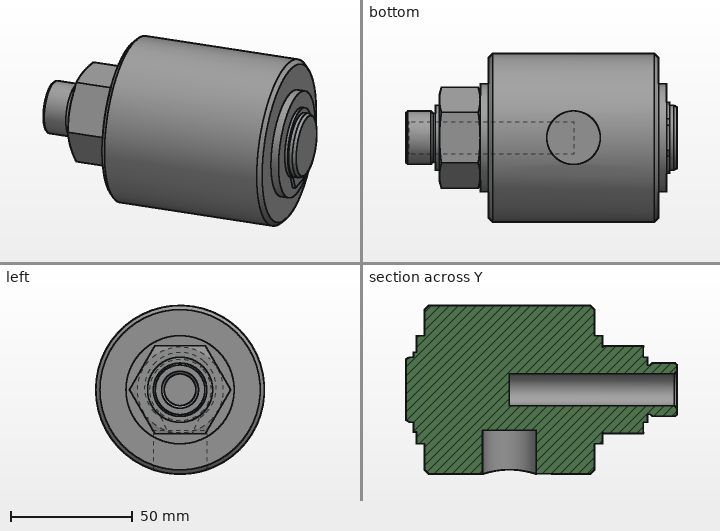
import cadquery as cq
import math


overall_length = 111.3
thread_end = 11.1
collar_start = 12.1
hex_start = 13.7
front_flange_start = 30.5
body_start = 33.85
body_end = 103.75
rear_flange_end = 107.05
ring_end = 108.3

thread_diameter = 22.0
thread_chamfer = 0.8
neck_diameter = 20.2
collar_diameter = 26.75
bore_diameter = 13.0
bore_chamfer = 1.1

hex_across_flats = 36.0
hex_chamfer_diameter = 35.3
hex_chamfer_angle = 15.0

flange_diameter = 44.45
body_diameter = 69.35
body_chamfer = 1.75
rear_hub_diameter = 26.8
rear_hub_chamfer_length = 1.4
rear_hub_chamfer_height = 0.8

ring_diameter = 29.3
ring_offset = 0.85
lug_reach = 17.4
lug_shoulder = 11.6
lug_side_angle = 24.0

port_diameter = 22.0
port_depth = 18.0

body_middle = (body_start + body_end) / 2
bore_depth = body_middle


def disc(start, end, diameter):
    """Cylinder on the X axis between two stations."""
    return cq.Workplane("YZ", origin=(start, 0, 0)).circle(diameter / 2).extrude(end - start)


def make_rotor():
    thread_radius = thread_diameter / 2
    neck_radius = neck_diameter / 2
    thread_runout = thread_radius - neck_radius
    thread = (
        cq.Workplane("XZ")
        .moveTo(0, 0)
        .lineTo(0, thread_radius - thread_chamfer)
        .lineTo(thread_chamfer, thread_radius)
        .lineTo(thread_end - thread_runout, thread_radius)
        .lineTo(thread_end, neck_radius)
        .lineTo(collar_start, neck_radius)
        .lineTo(collar_start, 0)
        .close()
        .revolve(360, (0, 0, 0), (1, 0, 0))
    )
    return thread.union(disc(collar_start, hex_start, collar_diameter))


def make_hexagon():
    across_corners = hex_across_flats / math.cos(math.radians(30))
    length = front_flange_start - hex_start
    hexagon = (
        cq.Workplane("YZ", origin=(hex_start, 0, 0))
        .polygon(6, across_corners)
        .extrude(length)
    )
    cone_height = (across_corners - hex_chamfer_diameter) / 2
    cone_length = cone_height * math.tan(math.radians(hex_chamfer_angle))
    envelope = (
        disc(hex_start, front_flange_start, across_corners)
        .faces("<X or >X")
        .edges()
        .chamfer(cone_length, cone_height)
    )
    return hexagon.intersect(envelope)


def make_housing():
    body = disc(body_start, body_end, body_diameter).edges().chamfer(body_chamfer)
    front_flange = disc(front_flange_start, body_start, flange_diameter)
    rear_flange = disc(body_end, rear_flange_end, flange_diameter)
    hub_radius = rear_hub_diameter / 2
    rear_hub = (
        cq.Workplane("XZ")
        .moveTo(rear_flange_end, 0)
        .lineTo(rear_flange_end, hub_radius)
        .lineTo(overall_length - rear_hub_chamfer_length, hub_radius)
        .lineTo(overall_length, hub_radius - rear_hub_chamfer_height)
        .lineTo(overall_length, 0)
        .close()
        .revolve(360, (0, 0, 0), (1, 0, 0))
    )
    return body.union(front_flange).union(rear_flange).union(rear_hub)


def make_retaining_ring():
    thickness = ring_end - rear_flange_end
    face = cq.Workplane("YZ", origin=(rear_flange_end, 0, 0))
    ring_radius = ring_diameter / 2
    ring = face.center(0, ring_offset).circle(ring_radius).extrude(thickness)
    shoulder_half_width = math.sqrt(ring_radius**2 - (lug_shoulder + ring_offset) ** 2)
    lug_drop = lug_reach - lug_shoulder
    foot_half_width = shoulder_half_width - lug_drop * math.tan(math.radians(lug_side_angle))
    lugs = (
        face.moveTo(-shoulder_half_width, -lug_shoulder)
        .lineTo(shoulder_half_width, -lug_shoulder)
        .lineTo(foot_half_width, -lug_reach)
        .lineTo(-foot_half_width, -lug_reach)
        .close()
        .extrude(thickness)
    )
    return ring.union(lugs)


def make_bore():
    bore = disc(0, bore_depth, bore_diameter)
    mouth_radius = bore_diameter / 2 + bore_chamfer
    mouth = cq.Workplane(cq.Solid.makeCone(
        mouth_radius, bore_diameter / 2, bore_chamfer, cq.Vector(0, 0, 0), cq.Vector(1, 0, 0)
    ))
    return bore.union(mouth)


def make_port():
    return (
        cq.Workplane("XY", origin=(body_middle, 0, -body_diameter / 2))
        .circle(port_diameter / 2)
        .extrude(port_depth)
    )


result = (
    make_housing()
    .union(make_hexagon())
    .union(make_rotor())
    .union(make_retaining_ring())
    .cut(make_bore())
    .cut(make_port())
)